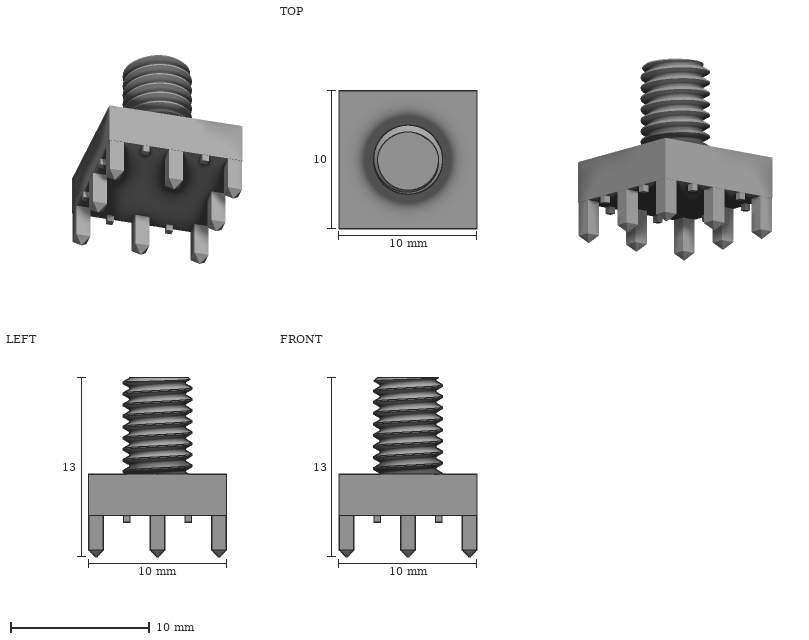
import cadquery as cq
import math

BODY_SIDE = 10.0
BODY_HEIGHT = 3.0

STUD_LENGTH = 7.0
THREAD_DIAMETER = 5.0
THREAD_PITCH = 0.8
THREAD_FLANK_ANGLE = 60.0
STUD_CHAMFER = 0.3

LEG_SIDE = 1.06
LEG_LENGTH = 3.0
LEG_TIP_HEIGHT = 0.53
LEG_TIP_FLAT = 0.06
LEG_SPACING = 4.44

PEG_SIDE = 0.48
PEG_LENGTH = 0.48

CREST_RADIUS = THREAD_DIAMETER / 2
SHARP_V_HEIGHT = THREAD_PITCH / 2 / math.tan(math.radians(THREAD_FLANK_ANGLE / 2))
THREAD_DEPTH = SHARP_V_HEIGHT * 17 / 24
ROOT_RADIUS = CREST_RADIUS - THREAD_DEPTH
ROOT_FILLET = SHARP_V_HEIGHT / 6
FLANK_SLOPE = math.tan(math.radians(THREAD_FLANK_ANGLE / 2))
CUT_CLEARANCE = 0.04
LEG_OUTER_FACE = LEG_SPACING + LEG_SIDE / 2
PEG_ROW = LEG_OUTER_FACE - PEG_SIDE / 2


def make_body():
    return cq.Workplane("XY").box(BODY_SIDE, BODY_SIDE, BODY_HEIGHT, centered=(True, True, False))


def make_groove(start_height, length, outer_radius):
    """Round-bottomed helical groove out to outer_radius, starting on the +X side."""
    half_angle = math.radians(THREAD_FLANK_ANGLE / 2)
    tangent_radius = ROOT_RADIUS + ROOT_FILLET * (1 - math.sin(half_angle))
    tangent_half_width = ROOT_FILLET * math.cos(half_angle)
    outer_half_width = tangent_half_width + (outer_radius - tangent_radius) * FLANK_SLOPE
    profile = (
        cq.Workplane("XZ", origin=(0, 0, start_height))
        .moveTo(outer_radius, -outer_half_width)
        .lineTo(tangent_radius, -tangent_half_width)
        .threePointArc((ROOT_RADIUS, 0), (tangent_radius, tangent_half_width))
        .lineTo(outer_radius, outer_half_width)
        .close()
    )
    helix = cq.Wire.makeHelix(THREAD_PITCH, length, ROOT_RADIUS, center=cq.Vector(0, 0, start_height))
    return profile.sweep(cq.Workplane(obj=helix), isFrenet=True)


def make_stud():
    blank = (
        cq.Workplane("XY", origin=(0, 0, BODY_HEIGHT))
        .circle(CREST_RADIUS)
        .extrude(STUD_LENGTH)
        .faces(">Z")
        .chamfer(STUD_CHAMFER)
        .rotate((0, 0, 0), (0, 0, 1), 180)
    )
    groove_start = BODY_HEIGHT - THREAD_PITCH / 2
    groove_length = STUD_LENGTH + 1.25 * THREAD_PITCH
    return blank.cut(make_groove(groove_start, groove_length, CREST_RADIUS + CUT_CLEARANCE))


def make_thread_runout():
    """Half turn of groove, from the -X side on, whose lower flank sinks into the top of the body."""
    groove = make_groove(BODY_HEIGHT, THREAD_PITCH / 2, CREST_RADIUS)
    return groove.rotate((0, 0, 0), (0, 0, 1), 180)


def make_leg(x, y):
    shank_length = LEG_LENGTH - LEG_TIP_HEIGHT
    shank = cq.Workplane("XY").center(x, y).rect(LEG_SIDE, LEG_SIDE).extrude(-shank_length)
    tip_taper = math.degrees(math.atan2((LEG_SIDE - LEG_TIP_FLAT) / 2, LEG_TIP_HEIGHT))
    tip = (
        cq.Workplane("XY", origin=(x, y, -shank_length))
        .rect(LEG_SIDE, LEG_SIDE)
        .extrude(-LEG_TIP_HEIGHT, taper=tip_taper)
    )
    return shank.union(tip)


def make_peg(x, y):
    return cq.Workplane("XY").center(x, y).rect(PEG_SIDE, PEG_SIDE).extrude(-PEG_LENGTH)


result = make_body().cut(make_thread_runout()).union(make_stud())

for column in (-1, 0, 1):
    for row in (-1, 0, 1):
        if (column, row) != (0, 0):
            result = result.union(make_leg(column * LEG_SPACING, row * LEG_SPACING))

for side in (-1, 1):
    for half in (-1, 1):
        across = side * PEG_ROW
        along = half * LEG_SPACING / 2
        result = result.union(make_peg(along, across)).union(make_peg(across, along))